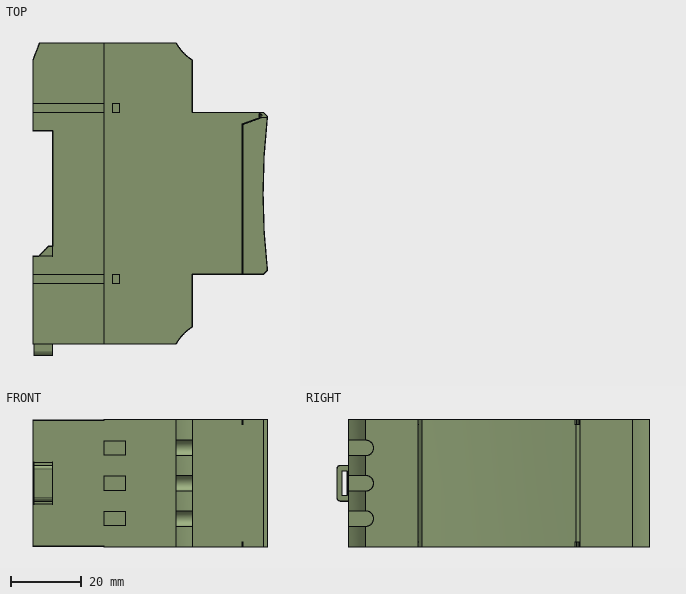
import cadquery as cq
import math


total_depth = 66.2
total_length = 88.25
width = 36.0
housing_length = 85.0
half_length = housing_length / 2
half_width = width / 2
base_depth = 20.0
base_step = 0.2
shoulder_depth = 45.0
nose_half_length = 22.9
nose_chamfer = 1.15
nose_hollow = 1.2
rear_chamfer_depth = 1.85
rear_chamfer_length = 4.8

corner_depth = 4.6
corner_length = 4.85
corner_sagitta = 0.4

rail_depth = 5.6
rail_half_length = 17.65

latch_inner_y = 22.9
latch_length = 2.5
latch_groove_depth = 0.8
latch_hole_start = 22.5
latch_hole_depth_x = 1.9
latch_hole_depth_z = 0.8

terminal_count = 3
terminal_pitch = 10.0
wire_entry_size_x = 6.1
wire_entry_size_z = 4.0
wire_entry_depth = 7.1
screw_channel_radius = 2.2

rear_slot_length = 1.9
rear_slot_inner_z = 7.0
rear_slot_outer_z = 17.1
rear_slot_edge = 1.1
rear_slot_depth = 1.1

joint_x = 59.0
joint_width = 0.2
joint_depth = 1.4
joint_bend_y = 19.6
joint_angle = math.radians(20)
hinge_x = 64.3
hinge_y = 22.1
hinge_hole_radius = 0.6
hinge_pin_radius = 0.3

clip_rear_x = 0.3
clip_half_width = 14.0
clip_shoulder_y = -30.8
clip_shoulder_fillet = 0.7
recess_end_y = -32.7
recess_half_width = 14.1
recess_neck_half_width = 5.9
arm_half_width = 5.07
arm_relief_y = -29.7
arm_relief_z = 7.0
arm_end_y = half_length - total_length
arm_end_fillet = 1.1
pull_slot_outer_y = -44.3
pull_slot_length = 1.4
pull_slot_half_width = 3.4

tooth_tip_y = -14.8
tooth_start_x = 1.7
tooth_flat_x = 4.4
side_tooth_width = 3.0
middle_tooth_width = 7.9

window_start_y = -19.8
window_end_y = -27.2
window_inner_z = 1.0
window_outer_z = 11.1
window_chamfer = 1.0
finger_tip_y = -20.7
finger_inner_z = 8.1
finger_outer_z = 10.0
spring_tip_y = -20.4
spring_tip_outer_z = 6.7
spring_tip_inner_z = 5.4
spring_outer_start_y = -21.9
spring_outer_middle = (-23.8, 3.5)
spring_inner_start_y = -21.4
spring_inner_middle = (-23.3, 2.7)
spring_inner_end_y = -26.65
relief_end_y = -27.8
relief_inner_z = 1.8
relief_outer_z = 2.3


def box(x_range, y_range, z_range):
    """Box between two limits along each axis, given in any order."""
    low = [min(limits) for limits in (x_range, y_range, z_range)]
    size = [abs(limits[1] - limits[0]) for limits in (x_range, y_range, z_range)]
    return cq.Workplane().box(*size, centered=False).translate(tuple(low))


def both_sides(shape):
    """A cutter and its mirror image across the middle plane Z = 0."""
    return shape.union(shape.mirror("XY"))


def terminal_heights():
    return [(i - (terminal_count - 1) / 2) * terminal_pitch for i in range(terminal_count)]


def hollow_corner_middle(side):
    """Middle point of the concave corner arc at the +Y (side = 1) or -Y (side = -1) end."""
    chord = math.hypot(corner_depth, corner_length)
    x = shoulder_depth - corner_depth / 2 - corner_sagitta * corner_length / chord
    y = half_length - corner_length / 2 - corner_sagitta * corner_depth / chord
    return (x, side * y)


def housing_blank():
    corner_x = shoulder_depth - corner_depth
    corner_y = half_length - corner_length
    nose_x = total_depth - nose_chamfer
    nose_y = nose_half_length - nose_chamfer
    return (
        cq.Workplane()
        .moveTo(0, -half_length)
        .lineTo(corner_x, -half_length)
        .threePointArc(hollow_corner_middle(-1), (shoulder_depth, -corner_y))
        .lineTo(shoulder_depth, -nose_half_length)
        .lineTo(nose_x, -nose_half_length)
        .lineTo(total_depth, -nose_y)
        .threePointArc((total_depth - nose_hollow, 0), (total_depth, nose_y))
        .lineTo(nose_x, nose_half_length)
        .lineTo(shoulder_depth, nose_half_length)
        .lineTo(shoulder_depth, corner_y)
        .threePointArc(hollow_corner_middle(1), (corner_x, half_length))
        .lineTo(rear_chamfer_depth, half_length)
        .lineTo(0, half_length - rear_chamfer_length)
        .lineTo(0, rail_half_length)
        .lineTo(rail_depth, rail_half_length)
        .lineTo(rail_depth, -rail_half_length)
        .lineTo(0, -rail_half_length)
        .close()
        .extrude(half_width, both=True)
    )


def base_steps():
    """The base stands slightly inside the broad faces of the front part."""
    step = box((0, base_depth), (-half_length, half_length), (half_width - base_step, half_width))
    return both_sides(step)


def latch_cuts():
    groove_z = (half_width - latch_groove_depth, half_width)
    hole_x = (latch_hole_start, latch_hole_start + latch_hole_depth_x)
    hole_z = (half_width - latch_hole_depth_z, half_width)
    cuts = cq.Workplane()
    for side in (1, -1):
        y_range = (side * latch_inner_y, side * (latch_inner_y + latch_length))
        cuts = cuts.add(box((0, base_depth), y_range, groove_z))
        cuts = cuts.add(box(hole_x, y_range, hole_z))
    return both_sides(cuts.combine())


def terminal_cuts():
    """Wire entries in the -Y end, and round-bottomed screw channels in the hollow corner beside them."""
    channel_x = shoulder_depth - corner_depth
    channel_y = corner_length - half_length
    cuts = cq.Workplane()
    for z in terminal_heights():
        entry_z = (z - wire_entry_size_z / 2, z + wire_entry_size_z / 2)
        entry_x = (base_depth, base_depth + wire_entry_size_x)
        cuts = cuts.add(box(entry_x, (-half_length, wire_entry_depth - half_length), entry_z))
        channel_z = (z - screw_channel_radius, z + screw_channel_radius)
        cuts = cuts.add(box((channel_x, shoulder_depth), (-half_length, channel_y), channel_z))
        round_bottom = (
            cq.Workplane("YZ", origin=(channel_x, channel_y, z))
            .circle(screw_channel_radius)
            .extrude(corner_depth)
        )
        cuts = cuts.add(round_bottom)
    return cuts.combine()


def rear_slots():
    outer_y = rear_slot_edge - half_length
    y_range = (outer_y, outer_y + rear_slot_length)
    return both_sides(box((0, rear_slot_depth), y_range, (rear_slot_inner_z, rear_slot_outer_z)))


def door_joints():
    """Narrow joint around the door flank, the hinge hole, and the open corner past the hinge."""
    floor_z = half_width - joint_depth
    hinge_joint_y = joint_bend_y + (hinge_x - joint_x) * math.tan(joint_angle)
    slope_width = joint_width / math.cos(joint_angle)
    inner_x = joint_x + joint_width
    inner_bend_y = joint_bend_y + joint_width * math.tan(joint_angle) - slope_width
    joint = (
        cq.Workplane(origin=(0, 0, floor_z))
        .polyline(
            [
                (joint_x, -nose_half_length),
                (joint_x, joint_bend_y),
                (hinge_x, hinge_joint_y),
                (hinge_x, hinge_joint_y - slope_width),
                (inner_x, inner_bend_y),
                (inner_x, -nose_half_length),
            ]
        )
        .close()
        .extrude(joint_depth)
    )
    hole = cq.Workplane(origin=(hinge_x, hinge_y, floor_z)).circle(hinge_hole_radius).extrude(joint_depth)
    corner_y = (hinge_y - hinge_hole_radius, nose_half_length)
    corner = box((hinge_x, total_depth), corner_y, (floor_z, half_width))
    return both_sides(joint.union(hole).union(corner))


def clip_recess():
    wide_z = (-recess_half_width, recess_half_width)
    wide_part = box((0, rail_depth), (-rail_half_length, recess_end_y), wide_z)
    neck_z = (-recess_neck_half_width, recess_neck_half_width)
    neck = box((0, rail_depth), (recess_end_y, -half_length), neck_z)
    return wide_part.union(neck)


def make_housing():
    return (
        housing_blank()
        .cut(base_steps())
        .cut(latch_cuts())
        .cut(terminal_cuts())
        .cut(rear_slots())
        .cut(door_joints())
        .cut(clip_recess())
    )


def make_hinge_pin(side):
    """Hinge pin standing on the floor of the hinge hole, on the +Z (1) or -Z (-1) side."""
    floor_z = side * (half_width - joint_depth)
    return (
        cq.Workplane(origin=(hinge_x, hinge_y, floor_z))
        .circle(hinge_pin_radius)
        .extrude(side * joint_depth)
    )


def clip_blank():
    clip_x = (clip_rear_x, rail_depth)
    plate_z = (-clip_half_width, clip_half_width)
    plate = (
        box(clip_x, (-rail_half_length, clip_shoulder_y), plate_z)
        .edges("|X and <Y")
        .fillet(clip_shoulder_fillet)
    )
    relief = box(clip_x, (arm_relief_y, clip_shoulder_y), (arm_half_width, arm_relief_z))
    arm = (
        box(clip_x, (-rail_half_length, arm_end_y), (-arm_half_width, arm_half_width))
        .edges("|X and <Y")
        .fillet(arm_end_fillet)
    )
    pull_slot = box(
        clip_x,
        (pull_slot_outer_y, pull_slot_outer_y + pull_slot_length),
        (-pull_slot_half_width, pull_slot_half_width),
    )
    return plate.cut(both_sides(relief)).union(arm).cut(pull_slot)


def hook_tooth(low_z, tooth_width):
    """Wedge that snaps behind the rail."""
    return (
        cq.Workplane(origin=(0, 0, low_z))
        .moveTo(tooth_start_x, -rail_half_length)
        .lineTo(tooth_flat_x, tooth_tip_y)
        .lineTo(rail_depth, tooth_tip_y)
        .lineTo(rail_depth, -rail_half_length)
        .close()
        .extrude(tooth_width)
    )


def clip_profile():
    """Workplane whose sketch axes are Y and Z, at the rear face of the clip."""
    return cq.Workplane("YZ", origin=(clip_rear_x, 0, 0))


def spring_leaf():
    """Curved leaf spring with a square tip, growing out of the inner corner of the window."""
    return (
        clip_profile()
        .moveTo(spring_tip_y, spring_tip_inner_z)
        .lineTo(spring_tip_y, spring_tip_outer_z)
        .lineTo(spring_outer_start_y, spring_tip_outer_z)
        .threePointArc(spring_outer_middle, (relief_end_y, relief_inner_z))
        .lineTo(relief_end_y, window_inner_z)
        .lineTo(spring_inner_end_y, window_inner_z)
        .threePointArc(spring_inner_middle, (spring_inner_start_y, spring_tip_inner_z))
        .close()
        .extrude(rail_depth - clip_rear_x)
    )


def spring_window():
    """Opening on the +Z half of the clip that leaves a straight finger and a leaf spring standing."""
    clip_x = (clip_rear_x, rail_depth)
    opening = (
        box(clip_x, (window_start_y, window_end_y), (window_inner_z, window_outer_z))
        .edges("|X and >Y and <Z")
        .chamfer(window_chamfer)
    )
    root_relief = box(clip_x, (window_end_y, relief_end_y), (relief_inner_z, relief_outer_z))
    finger = box(clip_x, (finger_tip_y, window_end_y), (finger_inner_z, finger_outer_z))
    return opening.union(root_relief).cut(finger).cut(spring_leaf())


def make_clip():
    clip = clip_blank().union(hook_tooth(-middle_tooth_width / 2, middle_tooth_width))
    side_tooth = hook_tooth(clip_half_width - side_tooth_width, side_tooth_width)
    return clip.union(both_sides(side_tooth)).cut(both_sides(spring_window()))


housing = make_housing()
clip = make_clip()
hinge_pins = [make_hinge_pin(side) for side in (1, -1)]

result = cq.Compound.makeCompound([housing.val(), clip.val(), *[pin.val() for pin in hinge_pins]])